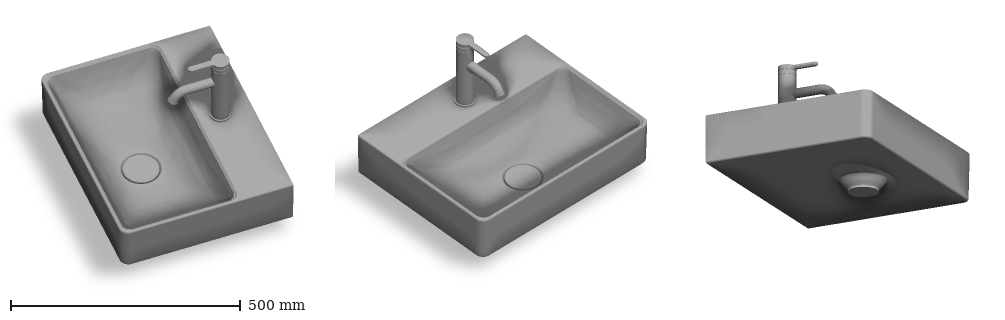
import cadquery as cq
import math


width = 500.0
depth = 400.0
height = 110.0
wall_draft = 2.0
corner_radius = 21.0
rim_round = 4.5
bottom_round = 4.5

bowl_y = -259.0
crest_width = 0.5
bowl_half_x = width / 2 - 2 * rim_round - crest_width
bowl_half_y = depth + bowl_y - 2 * rim_round - crest_width
bowl_corner = 18.0
floor_z = 7.5
floor_half = 46.0
floor_corner = 45.0
wall_sections = [
    (bowl_half_x, bowl_half_y, bowl_corner, height),
    (227.5, 124.0, 35.0, 75.0),
    (201.5, 107.0, 70.0, 42.0),
]
floor_sections = [
    wall_sections[-1],
    (140.0, 80.0, 65.0, 17.0),
    (floor_half, floor_half, floor_corner, floor_z),
]

bulge_half_x = 107.5
bulge_half_y = 62.5
cup_top_z = -4.5
cup_top_radius = 52.5
cup_mid_z = -18.0
cup_mid_radius = 41.5
cup_bottom_z = -26.0
cup_bottom_radius = 32.5

drain_mouth_radius = 45.5
mouth_clearance = 2.5
seat_z = 2.5
cap_radius = 41.0
cap_top_z = 8.5
cap_chamfer = 2.0
stem_radius = 27.5
collar_radius = 34.0
collar_bottom_z = -31.0

faucet_y = -73.0
column_radius = 20.0
base_diameter = 47.5
base_height = 3.5
column_top = 164.0
groove_level = 154.0
groove_size = 1.0
neck_radius = 18.5
head_bottom = 166.0
faucet_height = 175.5
lever_width = 14.0
lever_thickness = 7.5
lever_tip_y = -148.0
lever_tip_round = 3.0
spout_diameter = 21.5
spout_level = 111.5
spout_bend_y = -153.0
spout_bend_radius = 32.0
spout_bend_angle = 61.0
spout_outlet_length = 9.5
aerator_radius = 11.5
aerator_length = 5.0


def basin_outline(inset, z):
    """Basin plan: square corners at the back, round ones at the front."""
    half = width / 2 - inset
    front = inset - depth
    diagonal = corner_radius * (1 - math.sqrt(0.5))
    return (
        cq.Workplane("XY", origin=(0, 0, z))
        .moveTo(-half, 0)
        .lineTo(-half, front + corner_radius)
        .threePointArc((-half + diagonal, front + diagonal), (-half + corner_radius, front))
        .lineTo(half - corner_radius, front)
        .threePointArc((half - diagonal, front + diagonal), (half, front + corner_radius))
        .lineTo(half, 0)
        .close()
        .wire()
        .val()
    )


def make_block():
    rim_flare = wall_draft * rim_round / (height - rim_round)
    outlines = [basin_outline(wall_draft, 0), basin_outline(-rim_flare, height)]
    block = cq.Workplane(cq.Solid.makeLoft(outlines, True))
    top_edges = block.faces(">Z").edges().edges("not(>Y)")
    block = top_edges.fillet(rim_round)
    bottom_edges = block.faces("<Z").edges().edges("not(>Y)")
    return bottom_edges.fillet(bottom_round)


def rounded_rectangle(half_x, half_y, radius, z):
    sketch = cq.Sketch().rect(2 * half_x, 2 * half_y).vertices().fillet(radius)
    return sketch.moved(cq.Location(cq.Vector(0, bowl_y, z))).faces().vals()[0].outerWire()


def make_bowl_cavity():
    walls = [rounded_rectangle(*section) for section in wall_sections]
    floor = [rounded_rectangle(*section) for section in floor_sections]
    cavity = cq.Workplane(cq.Solid.makeLoft(walls, False))
    return cavity.union(cq.Workplane(cq.Solid.makeLoft(floor, False)))


def make_lip_cutter():
    """Bevels the inner edge of the rim all around the bowl opening."""
    start_z = height - rim_round
    outer = rounded_rectangle(
        bowl_half_x + rim_round, bowl_half_y + rim_round, bowl_corner + rim_round, height
    )
    inner = rounded_rectangle(bowl_half_x, bowl_half_y, bowl_corner, start_z)
    return cq.Workplane(cq.Solid.makeLoft([inner, outer], True))


def make_underside():
    """Shallow oval bulge under the bowl that narrows to the round drain cup."""
    bulge = cq.Workplane("XY", origin=(0, bowl_y, 0)).ellipse(bulge_half_x, bulge_half_y)
    cup_top = cq.Workplane("XY", origin=(0, bowl_y, cup_top_z)).circle(cup_top_radius)
    wires = [bulge.wire().val(), cup_top.wire().val()]
    return cq.Workplane(cq.Solid.makeLoft(wires, True))


def revolve_about_drain(profile):
    """Turns (radius, z) points about the vertical drain axis."""
    return (
        cq.Workplane("XZ", origin=(0, bowl_y, 0))
        .polyline(profile)
        .close()
        .revolve(axisStart=(0, 0, 0), axisEnd=(0, 1, 0))
    )


def make_cup():
    return revolve_about_drain([
        (0, 0),
        (cup_top_radius, 0),
        (cup_top_radius, cup_top_z),
        (cup_mid_radius, cup_mid_z),
        (cup_bottom_radius, cup_bottom_z),
        (0, cup_bottom_z),
    ])


def make_drain_hole():
    mouth_z = floor_z + mouth_clearance
    return revolve_about_drain([
        (0, mouth_z),
        (drain_mouth_radius, mouth_z),
        (drain_mouth_radius, floor_z),
        (cap_radius, seat_z),
        (stem_radius, seat_z),
        (stem_radius, cup_bottom_z),
        (0, cup_bottom_z),
    ])


def make_basin():
    basin = make_block().union(make_underside()).union(make_cup())
    return basin.cut(make_bowl_cavity()).cut(make_lip_cutter()).cut(make_drain_hole())


def make_drain():
    return revolve_about_drain([
        (0, cap_top_z),
        (cap_radius - cap_chamfer, cap_top_z),
        (cap_radius, cap_top_z - cap_chamfer),
        (cap_radius, seat_z),
        (stem_radius, seat_z),
        (stem_radius, cup_bottom_z),
        (collar_radius, cup_bottom_z),
        (collar_radius, collar_bottom_z),
        (0, collar_bottom_z),
    ])


def disc(radius, bottom, top):
    """Upright cylinder on the faucet axis between two levels above the basin top."""
    base = cq.Workplane("XY", origin=(0, faucet_y, height + bottom))
    return base.circle(radius).extrude(top - bottom)


def make_column():
    column = disc(base_diameter / 2, 0, base_height)
    column = column.union(disc(column_radius, 0, column_top))
    column = column.union(disc(neck_radius, column_top, head_bottom))
    column = column.union(disc(column_radius, head_bottom, faucet_height))
    groove = disc(column_radius, groove_level, groove_level + groove_size)
    groove_core = disc(column_radius - groove_size, groove_level, groove_level + groove_size)
    return column.cut(groove.cut(groove_core))


def make_lever():
    tip_radius = lever_width / 2
    round_start_y = lever_tip_y + tip_radius
    lever = (
        cq.Workplane("XY", origin=(0, 0, height + faucet_height - lever_thickness))
        .moveTo(-tip_radius, faucet_y)
        .lineTo(-tip_radius, round_start_y)
        .threePointArc((0, lever_tip_y), (tip_radius, round_start_y))
        .lineTo(tip_radius, faucet_y)
        .close()
        .extrude(lever_thickness)
    )
    return lever.faces("<Z").edges("%CIRCLE").chamfer(lever_tip_round)


def make_spout():
    angle = math.radians(spout_bend_angle)
    level = height + spout_level

    def bend_point(turn):
        y = spout_bend_y - spout_bend_radius * math.sin(turn)
        z = level - spout_bend_radius * (1 - math.cos(turn))
        return y, z

    bend_end_y, bend_end_z = bend_point(angle)
    outlet_y = bend_end_y - spout_outlet_length * math.cos(angle)
    outlet_z = bend_end_z - spout_outlet_length * math.sin(angle)
    path = (
        cq.Workplane("YZ")
        .moveTo(faucet_y, level)
        .lineTo(spout_bend_y, level)
        .threePointArc(bend_point(angle / 2), (bend_end_y, bend_end_z))
        .lineTo(outlet_y, outlet_z)
    )
    tube = cq.Workplane("XZ", origin=(0, faucet_y, level)).circle(spout_diameter / 2).sweep(path)
    backward = cq.Vector(0, math.cos(angle), math.sin(angle))
    aerator = cq.Solid.makeCylinder(
        aerator_radius, aerator_length, cq.Vector(0, outlet_y, outlet_z), backward
    )
    return tube.union(cq.Workplane(aerator))


def make_faucet():
    return make_column().union(make_lever()).union(make_spout())


basin = make_basin()
drain = make_drain()
faucet = make_faucet()

result = cq.Compound.makeCompound([basin.solids().val(), drain.val(), faucet.solids().val()])